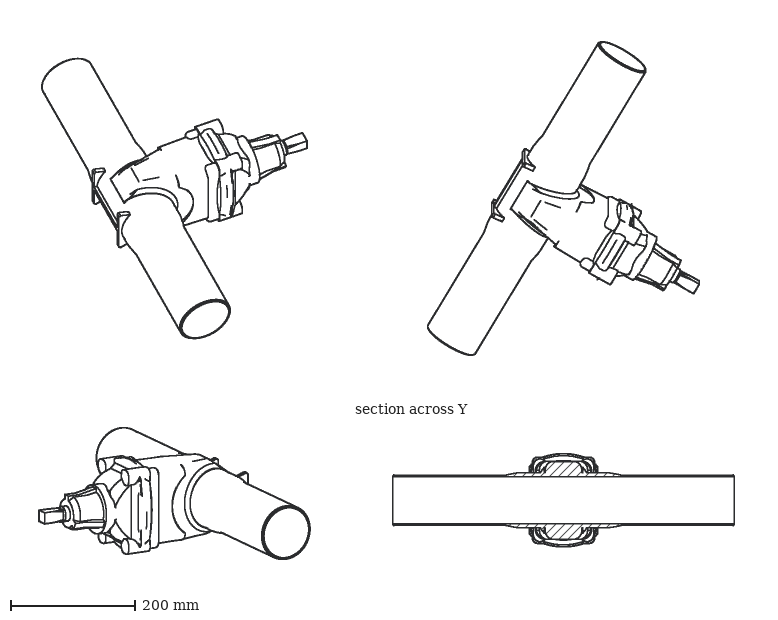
import cadquery as cq
import math


pipe_length = 550.0
pipe_radius = 89.0 / 2
bore_radius = 82.5 / 2
pipe_end_chamfer = 1.5
sleeve_radius = 97.0 / 2
sleeve_half_length = 70.5
sleeve_taper_end = 93.5
sleeve_taper_bulge = 0.5

foot_bottom = -53.5
wedge_bottom = -33.0
wedge_top = -1.5
panel_bottom = 5.5
body_waist = 31.0
shoulder_level = 57.0
bolt_head_bottom = 106.0
flange_bottom = 125.5
flange_joint = 135.5
bonnet_base = 144.5
flange_top = 148.0
bonnet_waist = 156.0
lug_top = 165.0
dome_middle = 174.5
bonnet_top = 187.0
disc_top = 200.0
neck_cone_top = 216.5
rib_bend = 231.5
neck_shoulder = 241.5
neck_top = 251.5
collar_top = 262.5
stem_turned_top = 283.0
overall_length_y = 350.5
stem_top = foot_bottom + overall_length_y

body_half_height = 62.5
body_top_half_width = 46.0
shoulder_half_width = 43.5
panel_half_width = 28.5
body_corner_drop = 16.0
recess_radius = 60.0
recess_center = 21.5
recess_half_width = 43.5
waist_half_width = 33.0
waist_panel_half_width = 21.5
toe_half_width = 26.5
toe_panel_half_width = 17.0
wedge_panel_half_width = 15.5
wedge_top_drop = 1.5
wedge_end_half_width = 27.5
wedge_end_half_height = 36.5
wedge_end_corner = 0.5

pipe_collar_rim_x = 33.0
pipe_collar_rim_radius = 49.5
pipe_collar_wall_radius = 56.0
pipe_collar_depth = 6.0
pipe_collar_tilt = 12.5

flange_half_width = 57.0
flange_half_height = 150.0 / 2
flange_corner_x = 50.0
flange_corner_z = 66.5
flange_corner_radius = 12.0
flange_rounding = 5.0
flange_edge_inset = 3.5
skirt_depth = 6.0
skirt_inset = 11.0
bolt_x = 38.0
bolt_z = 56.0
lug_width = 25.0
lug_corner_radius = 9.5
lug_x = 38.0
lug_z = 57.0
bolt_head_radius = 10.5
bolt_head_rounding = 6.0

bonnet_base_size = (55.0, 67.5, 42.0, 54.0)
bonnet_waist_size = (42.5, 56.5, 27.5, 46.0)
dome_middle_size = (40.0, 47.5, 27.5, 27.5)
dome_top_size = (37.5, 35.0, 27.5, 3.0)

disc_radius = 80.0 / 2
neck_radius = 28.0
neck_base_radius = 31.0
neck_top_chamfer = 5.0
rib_width = 12.0
rib_reach_top = 30.0
rib_reach_base = 36.5
rib_count = 3
collar_radius = 25.0 / 2
collar_chamfer = 3.0
stem_width = 18.5
stem_turned_radius = 11.5

foot_outer_x = 53.0
foot_thickness = 7.0
foot_half_height = 40.5
foot_root_y = -33.0
foot_root_half_height = 34.5
foot_chamfer = 3.0
foot_web_thickness = 8.0


def level(y):
    """XZ workplane at height y; a negative extrusion rises along +Y."""
    return cq.Workplane("XZ", origin=(0, y, 0))


def rounded_section(y, half_width, half_height, flat_half_width, drop):
    """Closed XZ wire: a rectangle with quarter-round corners, flat on top over flat_half_width."""
    diagonal = math.sqrt(0.5)
    mid_x = flat_half_width + (half_width - flat_half_width) * diagonal
    mid_z = half_height - drop * (1 - diagonal)
    low_z = half_height - drop
    outline = (
        level(y)
        .moveTo(-flat_half_width, half_height)
        .lineTo(flat_half_width, half_height)
        .threePointArc((mid_x, mid_z), (half_width, low_z))
        .lineTo(half_width, -low_z)
        .threePointArc((mid_x, -mid_z), (flat_half_width, -half_height))
        .lineTo(-flat_half_width, -half_height)
        .threePointArc((-mid_x, -mid_z), (-half_width, -low_z))
        .lineTo(-half_width, low_z)
        .threePointArc((-mid_x, mid_z), (-flat_half_width, half_height))
        .close()
    )
    return outline.val()


def cut_corner_section(y, half_width, half_height, cut_x, cut_z):
    """Closed XZ wire: a rectangle whose corners are cut from (cut_x, top) to (side, cut_z)."""
    corner = [(cut_x, half_height), (half_width, cut_z)]
    right = corner + [(x, -z) for x, z in reversed(corner)]
    left = [(-x, -z) for x, z in right]
    return level(y).polyline(right + left).close().val()


def ruled_loft(sections):
    return cq.Workplane(obj=cq.Solid.makeLoft(sections, True))


def make_pipe():
    half = pipe_length / 2
    pipe = cq.Workplane("YZ").circle(pipe_radius).extrude(half, both=True)
    pipe = pipe.faces("<X or >X").chamfer(pipe_end_chamfer)
    taper_mid_x = (sleeve_half_length + sleeve_taper_end) / 2
    taper_mid_radius = (sleeve_radius + pipe_radius) / 2 + sleeve_taper_bulge
    sleeve = (
        cq.Workplane("XY")
        .moveTo(-sleeve_taper_end, 0)
        .lineTo(-sleeve_taper_end, pipe_radius)
        .threePointArc((-taper_mid_x, taper_mid_radius), (-sleeve_half_length, sleeve_radius))
        .lineTo(sleeve_half_length, sleeve_radius)
        .threePointArc((taper_mid_x, taper_mid_radius), (sleeve_taper_end, pipe_radius))
        .lineTo(sleeve_taper_end, 0)
        .close()
        .revolve(360, (0, 0, 0), (1, 0, 0))
    )
    return pipe.union(sleeve)


def make_pipe_collars():
    """Sloped transitions from the tapering body walls to the sleeve, cut off at the wedge faces."""
    tilt = math.radians(pipe_collar_tilt)
    frustum = cq.Solid.makeCone(
        pipe_collar_rim_radius,
        pipe_collar_wall_radius,
        pipe_collar_depth,
        cq.Vector(pipe_collar_rim_x, 0, 0),
        cq.Vector(-math.cos(tilt), math.sin(tilt), 0),
    )
    between_wedges = (
        cq.Workplane("YZ")
        .polyline([
            (wedge_bottom, -wedge_end_half_height),
            (wedge_top, wedge_top_drop - body_half_height),
            (shoulder_level, -body_half_height),
            (shoulder_level, body_half_height),
            (wedge_top, body_half_height - wedge_top_drop),
            (wedge_bottom, wedge_end_half_height),
        ])
        .close()
        .extrude(2 * body_top_half_width)
    )
    collar = between_wedges.intersect(cq.Workplane(obj=frustum))
    return collar.union(collar.mirror("YZ"))


def make_body():
    height = body_half_height
    drop = body_corner_drop
    upper = ruled_loft([
        rounded_section(flange_bottom, body_top_half_width, height, panel_half_width, drop),
        rounded_section(shoulder_level, shoulder_half_width, height, panel_half_width, drop),
    ])
    recess = (
        cq.Workplane("YZ")
        .center(recess_center, 0)
        .circle(recess_radius)
        .extrude(body_top_half_width, both=True)
    )
    recess_top = recess_center + recess_radius
    wall_slope = (recess_half_width - waist_half_width) / (recess_top - body_waist)
    wall_at_shoulder = waist_half_width + wall_slope * (shoulder_level - body_waist)
    wedge_corner = wedge_end_corner
    lower = ruled_loft([
        rounded_section(recess_top, recess_half_width, height, panel_half_width, drop),
        rounded_section(shoulder_level, wall_at_shoulder, height, panel_half_width, drop),
        rounded_section(body_waist, waist_half_width, height, waist_panel_half_width, drop),
        rounded_section(panel_bottom, toe_half_width, height, toe_panel_half_width, drop),
        rounded_section(wedge_top, toe_half_width, height - wedge_top_drop, wedge_panel_half_width, drop),
        rounded_section(
            wedge_bottom,
            wedge_end_half_width,
            wedge_end_half_height,
            wedge_end_half_width - wedge_corner,
            wedge_corner,
        ),
    ])
    return upper.cut(recess).union(lower).union(make_pipe_collars())


def flange_section(y, inset):
    """Closed XZ wire of the bulging, round-cornered flange, moved inwards by inset."""
    radius = flange_corner_radius
    corner_x = flange_corner_x - radius
    corner_z = flange_corner_z - radius
    half_width = flange_half_width - radius
    half_height = flange_half_height - radius
    core = (
        level(y)
        .moveTo(-corner_x, corner_z)
        .threePointArc((0, half_height), (corner_x, corner_z))
        .threePointArc((half_width, 0), (corner_x, -corner_z))
        .threePointArc((0, -half_height), (-corner_x, -corner_z))
        .threePointArc((-half_width, 0), (-corner_x, corner_z))
        .close()
    )
    return core.offset2D(radius - inset).val()


def make_flange():
    bonnet_plate = ruled_loft([flange_section(flange_joint, 0), flange_section(flange_top, 0)])
    bonnet_plate = bonnet_plate.faces(">Y").edges().fillet(flange_rounding)
    body_plate = ruled_loft([
        flange_section(flange_joint, 0),
        flange_section(flange_bottom, flange_edge_inset),
        flange_section(flange_bottom - skirt_depth, skirt_inset),
    ])
    return bonnet_plate.union(body_plate)


def four_corners(x, z):
    return [(side_x * x, side_z * z) for side_x in (-1, 1) for side_z in (-1, 1)]


def make_bolting():
    lugs = (
        level(flange_bottom)
        .pushPoints(four_corners(lug_x, lug_z))
        .rect(lug_width, lug_width)
        .extrude(flange_bottom - lug_top)
        .edges("|Y")
        .fillet(lug_corner_radius)
    )
    bars = (
        level(bolt_head_bottom)
        .pushPoints([(-bolt_x, 0), (bolt_x, 0)])
        .slot2D(2 * (bolt_z + bolt_head_radius), 2 * bolt_head_radius, 90)
        .extrude(bolt_head_bottom - flange_joint)
        .faces("<Y")
        .edges()
        .fillet(bolt_head_rounding)
    )
    return lugs.union(bars)


def make_bonnet():
    waist_section = cut_corner_section(bonnet_waist, *bonnet_waist_size)
    flare = ruled_loft([cut_corner_section(bonnet_base, *bonnet_base_size), waist_section])
    dome_sections = [
        waist_section,
        cut_corner_section(dome_middle, *dome_middle_size),
        cut_corner_section(bonnet_top, *dome_top_size),
    ]
    dome = cq.Workplane(obj=cq.Solid.makeLoft(dome_sections))
    turned = (
        cq.Workplane("XY")
        .moveTo(0, bonnet_waist)
        .lineTo(disc_radius, bonnet_waist)
        .lineTo(disc_radius, disc_top)
        .lineTo(neck_base_radius, disc_top)
        .lineTo(neck_radius, neck_cone_top)
        .lineTo(neck_radius, neck_shoulder)
        .lineTo(neck_radius - neck_top_chamfer, neck_top)
        .lineTo(0, neck_top)
        .close()
        .revolve(360, (0, 0, 0), (0, 1, 0))
    )
    return flare.union(dome).union(turned)


def make_ribs():
    rib = (
        cq.Workplane("YZ")
        .moveTo(disc_top, 0)
        .lineTo(disc_top, rib_reach_base)
        .lineTo(rib_bend, rib_reach_top)
        .lineTo(neck_top, rib_reach_top)
        .lineTo(neck_top, 0)
        .close()
        .extrude(rib_width / 2, both=True)
    )
    ribs = rib
    for index in range(1, rib_count):
        ribs = ribs.union(rib.rotate((0, 0, 0), (0, 1, 0), index * 360 / rib_count))
    return ribs


def make_stem():
    collar = level(neck_top).circle(collar_radius).extrude(neck_top - collar_top)
    collar = collar.faces(">Y").chamfer(collar_chamfer)
    square = level(collar_top).rect(stem_width, stem_width).extrude(collar_top - stem_top)
    half_diagonal = stem_width * math.sqrt(0.5)
    stem_envelope = (
        cq.Workplane("XY")
        .moveTo(0, collar_top)
        .lineTo(stem_turned_radius, collar_top)
        .lineTo(half_diagonal, stem_turned_top)
        .lineTo(half_diagonal, stem_top)
        .lineTo(0, stem_top)
        .close()
        .revolve(360, (0, 0, 0), (0, 1, 0))
    )
    return collar.union(square.intersect(stem_envelope))


def make_feet():
    plate = (
        cq.Workplane("YZ", origin=(foot_outer_x - foot_thickness, 0, 0))
        .moveTo(0, -foot_root_half_height)
        .lineTo(foot_root_y, -foot_root_half_height)
        .lineTo(foot_bottom + foot_chamfer, -foot_half_height)
        .lineTo(foot_bottom, -foot_half_height + foot_chamfer)
        .lineTo(foot_bottom, foot_half_height - foot_chamfer)
        .lineTo(foot_bottom + foot_chamfer, foot_half_height)
        .lineTo(foot_root_y, foot_root_half_height)
        .lineTo(0, foot_root_half_height)
        .close()
        .extrude(foot_thickness)
    )
    web_length = 2 * foot_outer_x - foot_thickness
    web = level(foot_bottom).rect(web_length, foot_web_thickness).extrude(foot_bottom)
    return plate.union(plate.mirror("YZ")).union(web)


bore = cq.Workplane("YZ").circle(bore_radius).extrude(pipe_length, both=True)

result = (
    make_pipe()
    .union(make_body())
    .union(make_flange())
    .union(make_bolting())
    .union(make_bonnet())
    .union(make_ribs())
    .union(make_stem())
    .union(make_feet())
    .cut(bore)
)